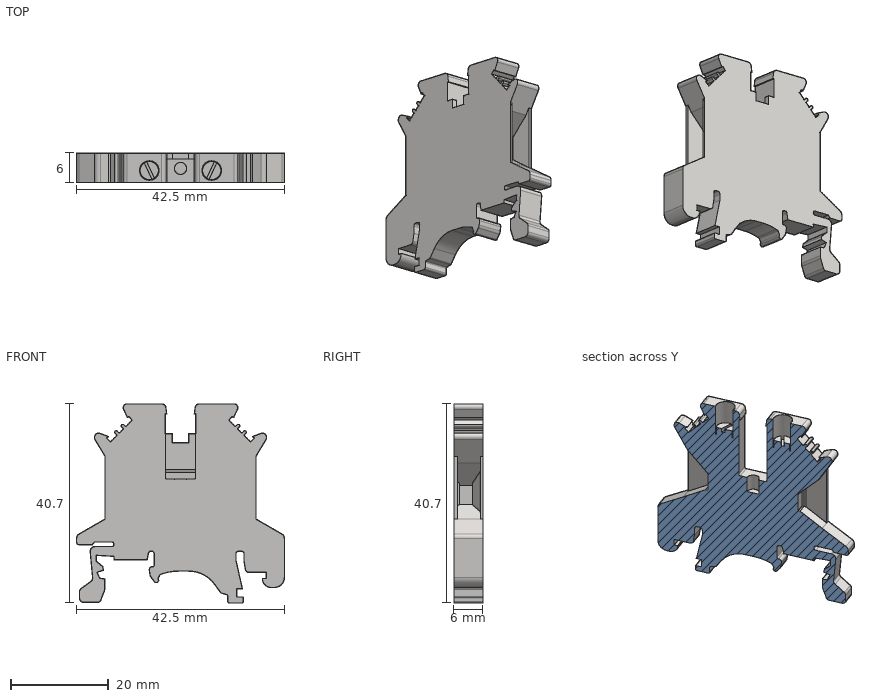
import cadquery as cq
import math


length = 42.5
thickness = 6.0
height = 40.7

half_length = length / 2
body_half_width = 15.43
flank_bottom = 17.15
flank_top = 29.95
shoulder_height = 13.8
shoulder_radius = 1.05

wing_tip = (18.83, 35.6)

slot_half_width = 3.1
slot_floor = 25.35
slot_corner_radius = 0.3
lip_overhang = 0.3
lip_height = 38.68

slope_sum = 47.25
rib_width = 0.65
rib_length = 0.85
rib_tip_radius = 0.3
rib_positions = (12.75, 11.45)

back_wall = 1.2
back_wall_top = 34.65
notch_half_width = 1.65
notch_floor = 32.75
undercut_depth = 0.2
undercut_top = 27.3
undercut_bottom = 26.65

slot_hole_diameter = 2.45
slot_hole_y = 2.9
slot_hole_depth = 3.4

screw_x = 6.38
screw_y = 2.45
screw_hole_diameter = 4.0
screw_head_diameter = 3.75
screw_head_top = 35.7
screw_head_height = 1.7
driver_slot_width = 0.55
driver_slot_depth = 0.85
driver_slot_angle = 65.0

funnel_back_x = 10.07
funnel_throat_x = 10.5
funnel_floor = 20.1
funnel_roof = 24.0
funnel_mouth_roof = 28.6
funnel_mouth_y = (0.75, 5.5)
funnel_throat_y = (1.1, 3.8)
funnel_step_x = 12.8
funnel_step_y = 5.3
funnel_step_length = 0.42


def rounded_outline(corners):
    """Closed XZ wire from (x, z) or (x, z, radius) corners; a radius gives a tangent arc."""
    pieces = []
    count = len(corners)
    for index, corner in enumerate(corners):
        vertex = cq.Vector(corner[0], 0, corner[1])
        if len(corner) == 2:
            pieces.append((vertex,))
            continue
        radius = corner[2]
        before = corners[index - 1]
        after = corners[(index + 1) % count]
        to_before = (cq.Vector(before[0], 0, before[1]) - vertex).normalized()
        to_after = (cq.Vector(after[0], 0, after[1]) - vertex).normalized()
        half_angle = to_before.getAngle(to_after) / 2
        tangent_length = radius / math.tan(half_angle)
        bisector = (to_before + to_after).normalized()
        arc_middle = vertex + bisector * (radius / math.sin(half_angle) - radius)
        pieces.append((vertex + to_before * tangent_length, arc_middle, vertex + to_after * tangent_length))

    edges = []
    for index, piece in enumerate(pieces):
        if len(piece) == 3:
            edges.append(cq.Edge.makeThreePointArc(*piece))
        edges.append(cq.Edge.makeLine(piece[-1], pieces[(index + 1) % count][0]))
    return cq.Wire.assembleEdges(edges)


def mirrored(corners):
    """The same corners on the -X side, walked in the opposite order."""
    return [(-corner[0], *corner[1:]) for corner in reversed(corners)]


def slope_ribs():
    """Round-ended ribs standing square on the 45 degree slope, from the outside inwards."""
    along = rib_width / 2 / math.sqrt(2)
    out = rib_length / math.sqrt(2)
    corners = []
    for x in rib_positions:
        z = slope_sum - x
        corners += [
            (x + along, z - along),
            (x + along + out, z - along + out, rib_tip_radius),
            (x - along + out, z + along + out, rib_tip_radius),
            (x - along, z + along),
        ]
    return corners


def tower_corners():
    """Right flank, marker groove and screw tower, from the flank bottom up to the slot floor."""
    groove_outer_x = 14.32
    groove_inner_x = 9.9
    wing_and_groove = [
        (body_half_width, flank_bottom),
        (body_half_width, flank_top),
        (*wing_tip, 0.9),
        (14.65, 34.0),
        (15.1, 33.7),
        (groove_outer_x, slope_sum - groove_outer_x),
    ]
    tower_head = [
        (groove_inner_x, slope_sum - groove_inner_x),
        (10.6, 38.12),
        (10.85, 37.85),
        (12.2, height, 0.8),
        (slot_half_width - 0.05, height, 0.95),
        (slot_half_width - lip_overhang, lip_height),
        (slot_half_width, lip_height),
        (slot_half_width, slot_floor, slot_corner_radius),
    ]
    return wing_and_groove + slope_ribs() + tower_head


spring_foot = [
    (-half_length, shoulder_height, shoulder_radius),
    (-half_length, 11.9, 0.55),
    (-18.0, 11.9),
    (-17.6, 12.45),
    (-13.65, 12.45, 0.4),
    (-13.65, 11.55, 0.4),
    (-18.57, 11.55, 1.0),
    (-17.95, 4.7, 0.85),
    (-20.65, 2.7, 0.72),
    (-20.65, 0.13, 0.9),
    (-16.45, 0.13, 0.65),
    (-body_half_width, 2.75, 1.7),
    (-body_half_width, 4.95),
    (-16.5, 5.1),
    (-17.05, 6.3),
    (-15.72, 6.67),
    (-15.85, 7.45, 0.2),
    (-17.15, 8.55),
    (-17.15, 9.75),
    (-13.65, 9.5),
    (-13.55, 8.85),
]

middle_hook = [
    (-6.8, 8.85),
    (-6.45, 10.6, 0.45),
    (-5.4, 10.6, 0.5),
    (-5.4, 7.45, 0.25),
    (-6.5, 7.45, 0.65),
    (-6.2, 5.5, 1.28),
    (-5.2, 4.15, 0.2),
    (-4.75, 4.15, 0.2),
    (-4.4, 4.6, 0.13),
    (-4.6, 5.0, 0.13),
    (-4.12, 5.82, 0.15),
]

arch_top = 6.5
arch_and_claw = [
    (-2.1, arch_top, 10.2),
    (5.0, arch_top, 6.5),
    (8.25, 2.05, 0.4),
    (9.6, 1.65, 0.2),
    (9.6, 0.0, 0.42),
    (12.85, 0.0, 0.35),
    (12.85, 1.28, 0.2),
    (11.5, 1.28),
    (11.5, 2.9),
    (12.65, 2.9),
    (11.35, 8.75),
    (11.35, 10.6, 0.55),
    (12.95, 10.6, 0.55),
    (12.95, 8.5),
    (13.35, 6.25, 0.75),
]

right_foot = [
    (17.45, 6.25),
    (17.45, 5.05),
    (16.7, 5.05),
    (16.7, 3.15, 1.85),
    (half_length, 3.15, 2.12),
    (half_length, shoulder_height, shoulder_radius),
]


def housing():
    tower = tower_corners()
    corners = tower + mirrored(tower) + spring_foot + middle_hook + arch_and_claw + right_foot
    face = cq.Face.makeFromWires(rounded_outline(corners))
    return cq.Workplane(cq.Solid.extrudeLinear(face, cq.Vector(0, thickness, 0)))


def slot_back_wall():
    """Notched wall at the back of the slot, thinner near the floor and sunk into the body."""
    root = slot_floor - slot_corner_radius
    front = thickness - back_wall
    wall = (
        cq.Workplane("YZ")
        .polyline([
            (thickness, root),
            (thickness, back_wall_top),
            (front, back_wall_top),
            (front, undercut_top),
            (front + undercut_depth, undercut_bottom),
            (front + undercut_depth, root),
        ])
        .close()
        .extrude(slot_half_width, both=True)
    )
    notch = cq.Workplane("XY").box(
        2 * notch_half_width, 2 * thickness, height, centered=(True, True, False)
    ).translate((0, thickness, notch_floor))
    return wall.cut(notch)


def slot_floor_hole():
    return (
        cq.Workplane("XY", origin=(0, slot_hole_y, slot_floor))
        .circle(slot_hole_diameter / 2)
        .extrude(-slot_hole_depth)
    )


def screw_hole():
    """Right-hand screw well with a slotted screw head left standing on its bottom."""
    well_bottom = screw_head_top - screw_head_height
    well = (
        cq.Workplane("XY", origin=(screw_x, screw_y, well_bottom))
        .circle(screw_hole_diameter / 2)
        .extrude(height - well_bottom)
    )
    head = (
        cq.Workplane("XY", origin=(screw_x, screw_y, well_bottom))
        .circle(screw_head_diameter / 2)
        .extrude(screw_head_height)
    )
    driver_slot = (
        cq.Workplane("XY")
        .box(screw_hole_diameter, driver_slot_width, driver_slot_depth, centered=(True, True, False))
        .rotate((0, 0, 0), (0, 0, 1), driver_slot_angle)
        .translate((screw_x, screw_y, screw_head_top - driver_slot_depth))
    )
    return well.cut(head.cut(driver_slot))


def wire_funnel():
    """Right-hand wire entry: a side profile and a plan profile, intersected."""
    wing_tip_x, wing_tip_z = wing_tip
    wing_lean = (wing_tip_x - body_half_width) / (wing_tip_z - flank_top)
    mouth_roof_x = body_half_width - wing_lean * (flank_top - funnel_mouth_roof)
    side_profile = (
        cq.Workplane("XZ")
        .polyline([
            (body_half_width, flank_bottom),
            (funnel_throat_x, funnel_floor),
            (funnel_back_x, funnel_floor),
            (funnel_back_x, funnel_roof),
            (mouth_roof_x, funnel_mouth_roof),
            (body_half_width, flank_top),
        ])
        .close()
        .extrude(-thickness)
    )
    front_mouth, back_mouth = funnel_mouth_y
    front_throat, back_throat = funnel_throat_y
    front_taper_x = funnel_throat_x + front_throat - front_mouth
    plan_profile = (
        cq.Workplane("XY")
        .polyline([
            (body_half_width, front_mouth),
            (front_taper_x, front_mouth),
            (funnel_throat_x, front_throat),
            (funnel_back_x, front_throat),
            (funnel_back_x, back_throat),
            (funnel_throat_x, back_throat),
            (funnel_step_x, funnel_step_y),
            (funnel_step_x + funnel_step_length, back_mouth),
            (body_half_width, back_mouth),
        ])
        .close()
        .extrude(height)
    )
    return side_profile.intersect(plan_profile)


result = housing().union(slot_back_wall()).cut(slot_floor_hole())
for side_cut in (screw_hole(), wire_funnel()):
    result = result.cut(side_cut).cut(side_cut.mirror("YZ"))